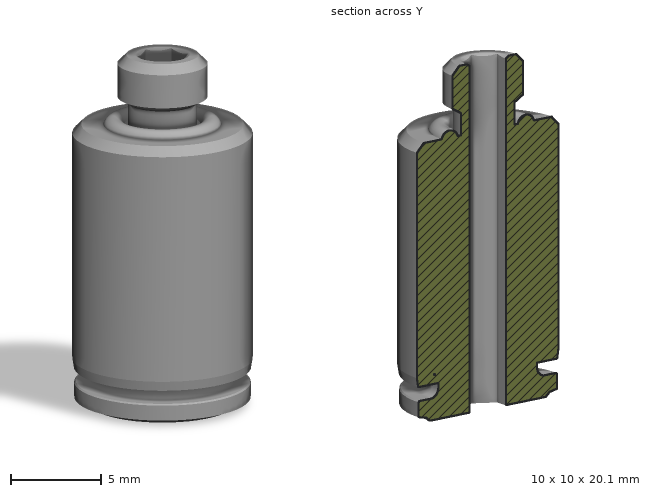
import cadquery as cq
import math

height = 20.05

flange_radius = 4.9
flange_foot_radius = 4.1
flange_underside_outer = 0.35
foot_cone_radius = 4.37
foot_cone_height = 0.25
flange_top = 1.28
flange_edge_chamfer = 0.08

groove_radius = 3.499
groove_fillet = 0.52

body_radius = 5.002
body_bottom = 2.07
body_lip_radius = 4.91
body_lip_height = 0.55
body_top = 16.05
edge_chamfer = 0.5

bead_inner_radius = 2.1
bead_outer_radius = 3.27
bead_height = 0.42

neck_radius = 1.9
head_radius = 2.5
head_bottom = 17.65
head_cone_angle = 30.0
head_cone_height = (head_radius - neck_radius) * math.tan(math.radians(head_cone_angle))

hex_flats = 2.5
hex_corners = hex_flats / math.cos(math.pi / 6)
lead_in_radius = 1.5
lead_in_angle = 30.0


def make_body():
    """Revolve the whole outer profile around Z."""
    bead_middle = (bead_inner_radius + bead_outer_radius) / 2
    fillet_reach = groove_fillet * (1 - math.sqrt(0.5))
    profile = (
        cq.Workplane("XZ")
        .lineTo(flange_foot_radius, 0)
        .lineTo(foot_cone_radius, foot_cone_height)
        .lineTo(flange_radius, flange_underside_outer)
        .lineTo(flange_radius, flange_top - flange_edge_chamfer)
        .lineTo(flange_radius - flange_edge_chamfer, flange_top)
        .lineTo(groove_radius + groove_fillet, flange_top)
        .threePointArc(
            (groove_radius + fillet_reach, flange_top + fillet_reach),
            (groove_radius, flange_top + groove_fillet),
        )
        .lineTo(groove_radius, body_bottom)
        .lineTo(body_lip_radius, body_bottom)
        .lineTo(body_radius, body_bottom + body_lip_height)
        .lineTo(body_radius, body_top - edge_chamfer)
        .lineTo(body_radius - edge_chamfer, body_top)
        .lineTo(bead_outer_radius, body_top)
        .threePointArc((bead_middle, body_top + bead_height), (bead_inner_radius, body_top))
        .lineTo(neck_radius, body_top)
        .lineTo(neck_radius, head_bottom - head_cone_height)
        .lineTo(head_radius, head_bottom)
        .lineTo(head_radius, height - edge_chamfer)
        .lineTo(head_radius - edge_chamfer, height)
        .lineTo(0, height)
        .close()
    )
    return profile.revolve(360, (0, 0, 0), (0, 1, 0))


def make_socket():
    """Hexagonal through hole with two corners on the Y axis."""
    return (
        cq.Workplane("XY")
        .polygon(6, hex_corners)
        .extrude(height)
        .rotate((0, 0, 0), (0, 0, 1), 30)
    )


def make_lead_in():
    """Downward-pointing cone that chamfers the socket mouth."""
    depth = lead_in_radius * math.tan(math.radians(lead_in_angle))
    return (
        cq.Workplane("XZ")
        .moveTo(0, height)
        .lineTo(lead_in_radius, height)
        .lineTo(0, height - depth)
        .close()
        .revolve(360, (0, 0, 0), (0, 1, 0))
    )


result = make_body().cut(make_socket()).cut(make_lead_in())